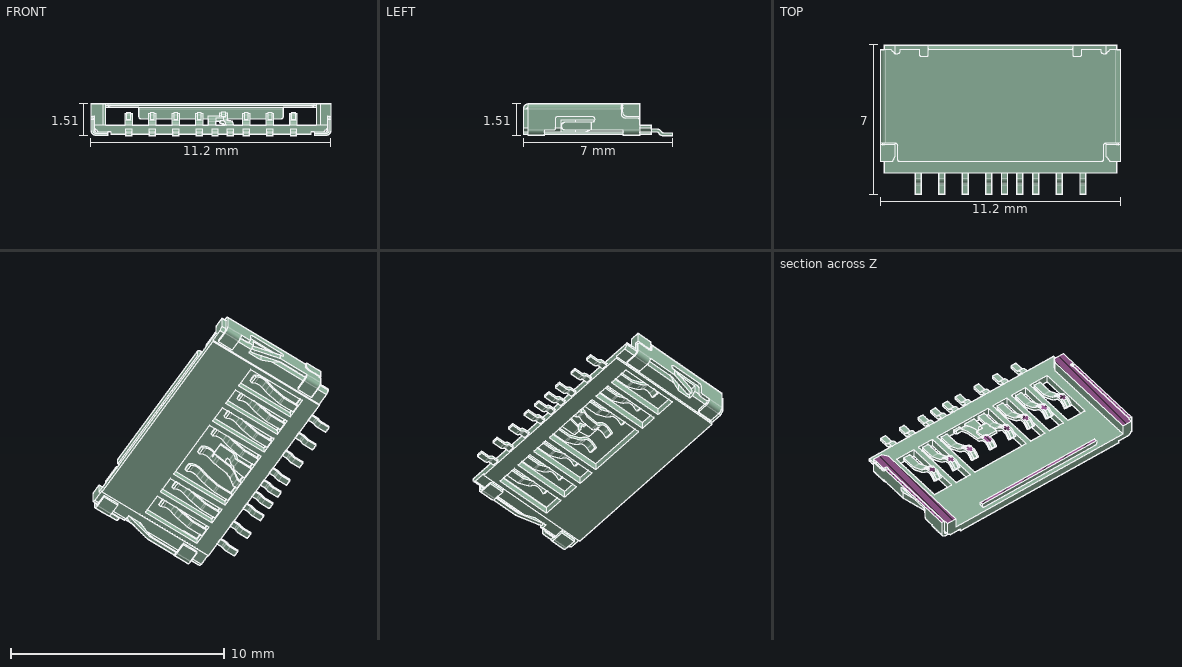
import cadquery as cq
import math

total_width = 11.25
total_height = 1.51
housing_depth = 6.0
tail_reach = 1.0

shell_gauge = 0.17
shell_bend = 0.16
shell_front = 0.54
shell_back = 5.78
foot_bottom = 0.02
foot_inner_x = 4.84
foot_length = 0.78
edge_bevel = 0.08
plate_corner = 0.1
wall_corner = 0.07
back_flap_half_width = 3.39
back_flap_bottom = 0.79
back_flap_corner = 0.11
relief_width = 0.4
relief_front = 5.46
relief_corner = 0.09
scallop_outer_x = 5.13
scallop_inner_x = 4.7
scallop_depth = 0.2
scallop_bevel = 0.17
scallop_bottom_x = 4.86
scallop_lip = 0.06
corner_notch_x = 4.83
corner_notch_back = 1.41
corner_notch_bottom = 0.83
corner_notch_radius = 0.11
corner_notch_side_radius = 0.2

finger_root = 2.81
finger_tip = 4.18
finger_inset = 0.34
finger_top = 0.65
finger_tip_radius = 0.17
window_back = 4.49
window_top = 0.91
window_corner = 0.11
window_flare = 0.1
slot_end_y = 2.78

floor_top = 0.51
floor_bottom = 0.07
ledge_x = 4.69
side_chamfer = 0.17
rail_inner_x = 4.94
post_back = 1.34
post_bottom = 0.91
post_corner = 0.2
post_chamfer_length = 0.26
left_post_chamfer = 0.12
right_post_chamfer = 0.2
recess_back = 4.23
recess_flat_front = 3.55
recess_front = 2.68
recess_floor_x = 5.08
recess_top = 0.75
slot_front = 0.81
slot_back = 3.71
slot_outer_x = 4.45
rib_width = 0.27

contact_count = 8
contact_pitch = 1.1
contact_gauge = 0.15
tail_bend = 0.17
post_bend = 0.09
knee_bend = 0.11
ramp_bend = 0.79
crest_bend = 0.36
tail_width = 0.29
arm_width = 0.36
tail_top = 0.33
ridge_width = 0.18
ridge_height = 0.05
plain_ridge_length = 0.46
fork_ridge_length = 0.34
forked_index = 4

fork_left_tail_x = 0.19
fork_right_tail_x = 0.9
fork_tip_x = 0.58
fork_slant_start = 1.01
fork_elbow = (0.66, 1.58)
fork_slant_end = 2.25
fork_pad_right_x = 0.45
fork_pad_back = (0.34, 1.46)
fork_post_left_x = -0.14
fork_post_right_x = 0.22
fork_post_front = 1.58
fork_crossbar_front = 1.91
fork_crossbar_back = 2.59

nearby = 0.01
shell_half = total_width / 2
wall_inner_x = shell_half - shell_gauge
wall_mid_x = shell_half - shell_gauge / 2
shell_outer_radius = shell_bend + shell_gauge / 2
wall_bottom = foot_bottom + shell_outer_radius
plate_bottom = total_height - shell_gauge
rail_top = total_height - shell_outer_radius
plate_mid_z = total_height - shell_gauge / 2
ledge_bottom = foot_bottom + shell_gauge
contact_xs = [(i - (contact_count - 1) / 2) * contact_pitch for i in range(contact_count)]
tail_mid_z = contact_gauge / 2
run_mid_z = tail_top - contact_gauge / 2
straight_xs = [x for i, x in enumerate(contact_xs) if i != forked_index]
tail_xs = straight_xs + [fork_left_tail_x, fork_right_tail_x]

tail_path = [(-tail_reach, tail_mid_z), (-0.46, tail_mid_z), (-0.36, run_mid_z)]
plain_arm = [(1.58, run_mid_z), (2.23, 0.58), (2.77, 1.12), (3.18, 0.71)]
plain_bends = [tail_bend, tail_bend, knee_bend, ramp_bend, crest_bend]
fork_right_arm = [(0.96, run_mid_z), (1.24, 0.63), (2.28, 0.68), (2.77, 1.16), (3.18, 0.74)]
fork_right_bends = [tail_bend, tail_bend, knee_bend, knee_bend, knee_bend, crest_bend]
fork_left_arm = [(1.63, run_mid_z), (1.72, 0.72), (2.53, 0.87)]
fork_left_bends = [tail_bend, tail_bend, knee_bend, post_bend]


def box(x0, x1, y0, y1, z0, z1):
    return cq.Workplane("XY").box(x1 - x0, y1 - y0, z1 - z0, centered=False).translate((x0, y0, z0))


def on_both_sides(left_part):
    return left_part.union(left_part.mirror("YZ"))


def strip_side(points, gauge, radii):
    """Left-hand side of a bent strip: (end,) for a straight stretch, (middle, end) for an arc."""
    corners = [cq.Vector(*point) for point in points]
    directions = [(end - start).normalized() for start, end in zip(corners, corners[1:])]
    offsets = [cq.Vector(-d.y, d.x) * (gauge / 2) for d in directions]
    stretches = [(corners[0] + offsets[0],)]
    for i, radius in enumerate(radii):
        corner, before, after = corners[i + 1], directions[i], directions[i + 1]
        half_turn = before.getAngle(after) / 2
        setback = radius * math.tan(half_turn)
        arc_gap = radius / math.cos(half_turn) - radius
        middle = corner + (after - before).normalized() * arc_gap
        middle_offset = (offsets[i] + offsets[i + 1]).normalized() * (gauge / 2)
        stretches.append((corner - before * setback + offsets[i],))
        stretches.append((middle + middle_offset, corner + after * setback + offsets[i + 1]))
    stretches.append((corners[-1] + offsets[-1],))
    return stretches


def bent_strip(plane, points, gauge, radii):
    """Closed outline of a strip whose mid-line follows the points, with one bend radius per inner point."""
    there = strip_side(points, gauge, radii)
    back = strip_side(points[::-1], gauge, radii[::-1])
    start = there[0][0]
    outline = cq.Workplane(plane).moveTo(start.x, start.y)
    for stretch in there[1:] + back:
        ends = [(point.x, point.y) for point in stretch]
        outline = outline.lineTo(*ends[0]) if len(ends) == 1 else outline.threePointArc(*ends)
    return outline.close()


def folded_sheet():
    foot_mid_z = foot_bottom + shell_gauge / 2
    section = [
        (-foot_inner_x, foot_mid_z),
        (-wall_mid_x, foot_mid_z),
        (-wall_mid_x, plate_mid_z),
        (wall_mid_x, plate_mid_z),
        (wall_mid_x, foot_mid_z),
        (foot_inner_x, foot_mid_z),
    ]
    sheet = bent_strip("XZ", section, shell_gauge, [shell_bend] * 4).extrude(shell_front - shell_back)
    sheet = sheet.translate((0, shell_front, 0))
    between_feet = box(
        -shell_half, shell_half, shell_front + foot_length, shell_back - foot_length, 0, wall_bottom
    )
    return sheet.cut(between_feet)


def back_flap():
    flap_mid_y = housing_depth - shell_gauge / 2
    path = [(relief_front, plate_mid_z), (flap_mid_y, plate_mid_z), (flap_mid_y, back_flap_bottom)]
    flap = bent_strip("YZ", path, shell_gauge, [shell_bend]).extrude(2 * back_flap_half_width)
    flap = flap.translate((-back_flap_half_width, 0, 0))
    return flap.faces("<Z").edges("|Y").fillet(back_flap_corner)


def back_edge_cuts():
    relief_end = -back_flap_half_width
    relief_start = relief_end - relief_width
    relief = box(relief_start, relief_end, relief_front, housing_depth, plate_bottom, total_height)
    relief = relief.faces("<Y").edges("|Z").fillet(relief_corner)
    scallop = (
        cq.Workplane("XY", origin=(0, 0, plate_bottom))
        .moveTo(-scallop_outer_x, shell_back)
        .lineTo(-scallop_outer_x + scallop_bevel, shell_back - scallop_bevel)
        .threePointArc(
            (-scallop_bottom_x, shell_back - scallop_depth), (-scallop_inner_x, shell_back - scallop_lip)
        )
        .lineTo(-scallop_inner_x, shell_back)
        .close()
        .extrude(shell_gauge)
    )
    return relief.union(scallop)


def corner_notch():
    notch = box(
        -shell_half, -corner_notch_x, shell_front, corner_notch_back, corner_notch_bottom, total_height
    )
    notch = notch.edges("|Z and >X and >Y").fillet(corner_notch_radius)
    return notch.edges("|X and >Y and <Z").fillet(corner_notch_side_radius)


def finger_window():
    window = box(-shell_half, -wall_inner_x, finger_root, window_back, wall_bottom, window_top)
    window = window.edges("|X and >Y and >Z").fillet(window_corner)
    end_radius = (window_top - finger_top) / 2
    slot = box(-shell_half, -wall_inner_x, slot_end_y, window_back - window_corner, finger_top, window_top)
    slot_end = (
        cq.Workplane("YZ", origin=(-shell_half, slot_end_y, finger_top + end_radius))
        .circle(end_radius)
        .extrude(shell_gauge)
    )
    return window.union(slot).union(slot_end)


def spring_finger():
    path = [
        (-wall_mid_x, finger_root - shell_gauge),
        (-wall_mid_x, finger_root),
        (-wall_mid_x + finger_inset, finger_tip),
    ]
    finger = bent_strip("XY", path, shell_gauge, [shell_bend]).extrude(finger_top - wall_bottom)
    finger = finger.translate((0, 0, wall_bottom))
    return finger.faces(">Y").edges("not |Z").edges("<Z or >Z").fillet(finger_tip_radius)


def edges_near(x0, x1, y, z0, z1):
    """Selects edges whose middle lies in a thin box at the given y."""
    return cq.selectors.BoxSelector((x0, y - nearby, z0 - nearby), (x1, y + nearby, z1 + nearby))


def soften_edges(shell):
    for side in (-1, 1):
        inner, outer = sorted((side * wall_inner_x, side * shell_half))
        plate_corner_x = side * corner_notch_x
        flare = edges_near(inner, outer, window_back, wall_bottom, wall_bottom)
        shell = shell.edges(flare).fillet(window_flare)
        wall_end = edges_near(inner, outer, shell_front, corner_notch_bottom, corner_notch_bottom)
        shell = shell.edges(wall_end).chamfer(wall_corner)
        plate_end = edges_near(
            plate_corner_x - nearby, plate_corner_x + nearby, shell_front, plate_bottom, total_height
        )
        shell = shell.edges(plate_end).edges("|Z").fillet(plate_corner)
    return shell


def bevel_front(shell):
    """Lead-in bevel along the inner front edges of the plate, the walls and the feet."""
    plate_edge = edges_near(-nearby, nearby, shell_front, plate_bottom, plate_bottom)
    shell = shell.edges(plate_edge).chamfer(edge_bevel)
    for side in (-1, 1):
        wall_x = side * wall_inner_x
        wall_edge = edges_near(
            wall_x - nearby, wall_x + nearby, shell_front, wall_bottom, corner_notch_bottom
        )
        shell = shell.edges(wall_edge).edges("|Z").chamfer(edge_bevel)
    return shell


def make_shell():
    shell = folded_sheet()
    shell = shell.cut(on_both_sides(back_edge_cuts())).union(back_flap())
    shell = shell.cut(on_both_sides(corner_notch()))
    shell = shell.cut(on_both_sides(finger_window()))
    shell = bevel_front(soften_edges(shell))
    return shell.union(on_both_sides(spring_finger()))


def floor_plate():
    half = wall_inner_x
    section = [
        (-half, floor_top),
        (-half, ledge_bottom + side_chamfer),
        (-half + side_chamfer, ledge_bottom),
        (-ledge_x, ledge_bottom),
        (-ledge_x, floor_bottom),
    ]
    mirrored = [(-x, z) for x, z in reversed(section)]
    return cq.Workplane("XZ").polyline(section + mirrored).close().extrude(-housing_depth)


def rail_and_post(chamfer_width):
    """Left side rail with the corner post at its front end."""
    rail = box(-wall_inner_x, -rail_inner_x, shell_front, housing_depth, floor_top, rail_top)
    post = box(-shell_half, -rail_inner_x, shell_front, post_back, post_bottom, total_height)
    post = post.edges("|X and >Y and <Z").fillet(post_corner)
    corner = (
        cq.Workplane("XY", origin=(0, 0, floor_top))
        .moveTo(-rail_inner_x, shell_front)
        .lineTo(-rail_inner_x, shell_front + post_chamfer_length)
        .lineTo(-rail_inner_x - chamfer_width, shell_front)
        .close()
        .extrude(total_height - floor_top)
    )
    return rail.union(post).cut(corner)


def finger_recess():
    return (
        cq.Workplane("XY", origin=(0, 0, ledge_bottom))
        .moveTo(-wall_inner_x, recess_back)
        .lineTo(-recess_floor_x, recess_back)
        .lineTo(-recess_floor_x, recess_flat_front)
        .lineTo(-wall_inner_x, recess_front)
        .close()
        .extrude(recess_top - ledge_bottom)
    )


def contact_slots():
    """Openings through the floor: ribs stand between contacts, but not next to the forked one."""
    openings = box(-slot_outer_x, slot_outer_x, slot_front, slot_back, floor_bottom, floor_top)
    for i in range(contact_count - 1):
        if i in (forked_index - 1, forked_index):
            continue
        rib_x = (contact_xs[i] + contact_xs[i + 1]) / 2
        openings = openings.cut(
            box(rib_x - rib_width / 2, rib_x + rib_width / 2, slot_front, slot_back, floor_bottom, floor_top)
        )
    return openings


def make_housing():
    housing = floor_plate().union(rail_and_post(left_post_chamfer))
    housing = housing.union(rail_and_post(right_post_chamfer).mirror("YZ"))
    housing = housing.cut(on_both_sides(finger_recess())).cut(contact_slots())
    for x in tail_xs:
        housing = housing.cut(
            box(x - tail_width / 2, x + tail_width / 2, 0, slot_front, tail_top - contact_gauge, tail_top)
        )
    return housing


def strip_in_outline(path, bends, outline):
    """Bent strip running along y, trimmed to an outline seen from above."""
    strip = bent_strip("YZ", path, contact_gauge, bends).extrude(total_width)
    strip = strip.translate((-shell_half, 0, 0))
    return strip.intersect(cq.Workplane("XY").polyline(outline).close().extrude(total_height))


def tail_outline(x):
    return [
        (x - tail_width / 2, slot_front),
        (x - tail_width / 2, -tail_reach),
        (x + tail_width / 2, -tail_reach),
        (x + tail_width / 2, slot_front),
    ]


def tip_ridge(x, arm, ridge_length):
    """Raised contact ridge on the crest of an arm, starting on its 45 degree ramp."""
    crest, tip = arm[-2:]
    start = (crest[0] - ridge_length, crest[1] - ridge_length)
    path = [(y, z + ridge_height) for y, z in (start, crest, tip)]
    ridge = bent_strip("YZ", path, contact_gauge, [crest_bend]).extrude(ridge_width)
    return ridge.translate((x - ridge_width / 2, 0, 0))


def plain_contact(x):
    half = arm_width / 2
    tip_y = plain_arm[-1][0] + contact_gauge
    outline = tail_outline(x) + [
        (x + half, slot_front),
        (x + half, tip_y),
        (x - half, tip_y),
        (x - half, slot_front),
    ]
    strip = strip_in_outline(tail_path + plain_arm, plain_bends, outline)
    return strip.union(tip_ridge(x, plain_arm, plain_ridge_length))


def forked_contact():
    half = arm_width / 2
    tip_y = fork_right_arm[-1][0] + contact_gauge
    elbow_x, elbow_y = fork_elbow
    right_arm_course = [
        (fork_right_tail_x, slot_front),
        (fork_right_tail_x, fork_slant_start),
        (elbow_x, elbow_y),
        (fork_tip_x, fork_slant_end),
        (fork_tip_x, tip_y),
    ]
    right_edge = [(x + half, y) for x, y in right_arm_course]
    left_edge = [(x - half, y) for x, y in reversed(right_arm_course)]
    right_outline = tail_outline(fork_right_tail_x) + right_edge + left_edge
    left_outline = tail_outline(fork_left_tail_x) + [
        (fork_pad_right_x, slot_front),
        fork_pad_back,
        (fork_post_right_x, fork_post_front),
        (fork_post_right_x, fork_crossbar_front),
        (fork_tip_x, fork_crossbar_front),
        (fork_tip_x, fork_crossbar_back),
        (fork_post_left_x, fork_crossbar_back),
        (fork_post_left_x, slot_front),
    ]
    right_branch = strip_in_outline(tail_path + fork_right_arm, fork_right_bends, right_outline)
    left_branch = strip_in_outline(tail_path + fork_left_arm, fork_left_bends, left_outline)
    ridge = tip_ridge(fork_tip_x, fork_right_arm, fork_ridge_length)
    return right_branch.union(left_branch).union(ridge)


shell = make_shell()
housing = make_housing()
contacts = [plain_contact(x) for x in straight_xs] + [forked_contact()]

result = cq.Compound.makeCompound([shell.val(), housing.val(), *[contact.val() for contact in contacts]])